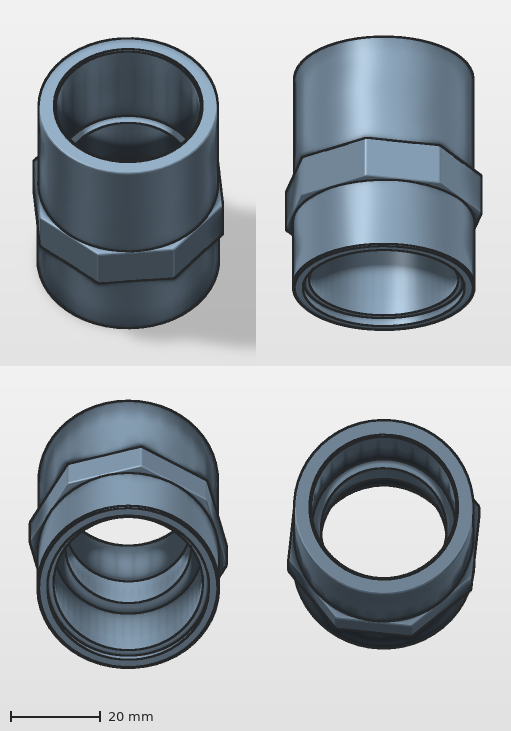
import cadquery as cq

body_height = 53.0
collar_bottom = 16.5
collar_height = 10.0
collar_middle = collar_bottom + collar_height / 2

collar_across_flats = 41.0
collar_corner_radius = 1.0
collar_edge_fillet = 0.5

sleeve_diameter = 40.5
sleeve_edge_chamfer = 0.4
thread_diameter = 33.25
mouth_diameter = 36.0
mouth_depth = 2.0
thread_depth = 20.0

spigot_base_diameter = 40.1
spigot_top_diameter = 40.0
spigot_edge_fillet = 0.5
socket_mouth_diameter = 32.3
socket_base_diameter = 32.1
socket_chamfer = 0.4
socket_depth = 22.3

passage_diameter = 28.0


def frustum(bottom_diameter, top_diameter, bottom_z, top_z):
    """Solid of revolution about Z, straight or conical, between two heights."""
    return (
        cq.Workplane("XZ")
        .moveTo(0, bottom_z)
        .lineTo(bottom_diameter / 2, bottom_z)
        .lineTo(top_diameter / 2, top_z)
        .lineTo(0, top_z)
        .close()
        .revolve(360, (0, 0, 0), (0, 1, 0))
    )


def make_collar():
    """Octagonal collar with flats facing X and Y, and every edge rounded."""
    square = cq.Workplane("XY").workplane(offset=collar_bottom)
    square = square.rect(collar_across_flats, collar_across_flats).extrude(collar_height)
    turned_square = square.rotate((0, 0, 0), (0, 0, 1), 45)
    octagon = square.intersect(turned_square)
    octagon = octagon.edges("|Z").fillet(collar_corner_radius)
    return octagon.faces("<Z or >Z").edges().fillet(collar_edge_fillet)


def make_sleeve():
    """Lower sleeve with a chamfered bottom edge."""
    sleeve = frustum(sleeve_diameter, sleeve_diameter, 0, collar_middle)
    return sleeve.faces("<Z").edges().chamfer(sleeve_edge_chamfer)


def make_spigot():
    """Upper spigot with a rounded top edge."""
    spigot = frustum(spigot_base_diameter, spigot_top_diameter, collar_middle, body_height)
    return spigot.faces(">Z").edges().fillet(spigot_edge_fillet)


def make_bore():
    """Everything removed along the axis: mouth, thread, passage and chamfered socket."""
    socket_rim_diameter = socket_mouth_diameter + 2 * socket_chamfer
    socket_bottom = body_height - socket_depth

    thread = frustum(thread_diameter, thread_diameter, 0, thread_depth)
    mouth = frustum(mouth_diameter, mouth_diameter, 0, mouth_depth)
    passage = frustum(passage_diameter, passage_diameter, 0, body_height)
    socket = frustum(socket_base_diameter, socket_mouth_diameter, socket_bottom, body_height)
    socket_rim = frustum(
        socket_mouth_diameter, socket_rim_diameter, body_height - socket_chamfer, body_height
    )
    return passage.union(thread).union(mouth).union(socket).union(socket_rim)


outside = make_sleeve().union(make_spigot()).union(make_collar())
result = outside.cut(make_bore())